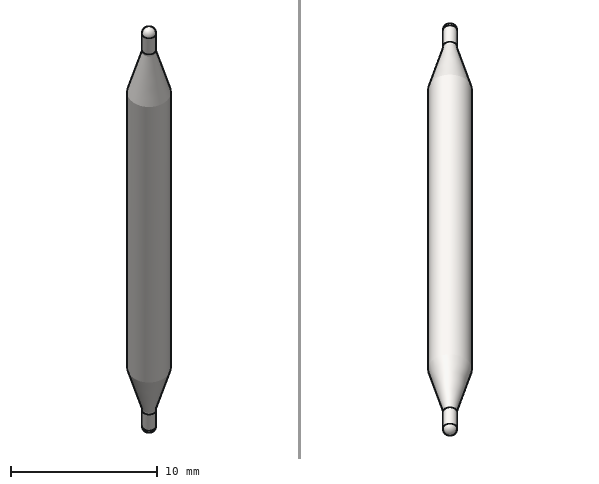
import cadquery as cq
import math

total_length = 38.0
barrel_diameter = 3.0
pin_diameter = 1.0
shoulder_height = 13.0
taper_end_height = 16.8
collar_end_height = 17.0

barrel_radius = barrel_diameter / 2
pin_radius = pin_diameter / 2
tip_base_height = total_length / 2 - pin_radius


def make_barrel():
    """Round barrel tapering at both ends to a short collar."""
    return (
        cq.Workplane("XZ")
        .moveTo(0, -collar_end_height)
        .lineTo(pin_radius, -collar_end_height)
        .lineTo(pin_radius, -taper_end_height)
        .lineTo(barrel_radius, -shoulder_height)
        .lineTo(barrel_radius, shoulder_height)
        .lineTo(pin_radius, taper_end_height)
        .lineTo(pin_radius, collar_end_height)
        .lineTo(0, collar_end_height)
        .close()
        .revolve(360, (0, 0), (0, 1))
    )


def make_pin(side):
    """Plain pin standing on a collar; side is +1 for the upper end, -1 for the lower."""
    return (
        cq.Workplane("XY")
        .workplane(offset=side * collar_end_height)
        .circle(pin_radius)
        .extrude(side * (tip_base_height - collar_end_height))
    )


def make_tip(side):
    """Hemispherical tip on the outer end of a pin."""
    arc_offset = pin_radius * math.sqrt(0.5)
    return (
        cq.Workplane("XZ")
        .moveTo(0, side * tip_base_height)
        .lineTo(pin_radius, side * tip_base_height)
        .threePointArc(
            (arc_offset, side * (tip_base_height + arc_offset)),
            (0, side * total_length / 2),
        )
        .close()
        .revolve(360, (0, 0), (0, 1))
    )


barrel = make_barrel()
ends = (1, -1)
pins = [make_pin(side).val() for side in ends]
tips = [make_tip(side).val() for side in ends]

result = cq.Compound.makeCompound([barrel.val(), *pins, *tips])